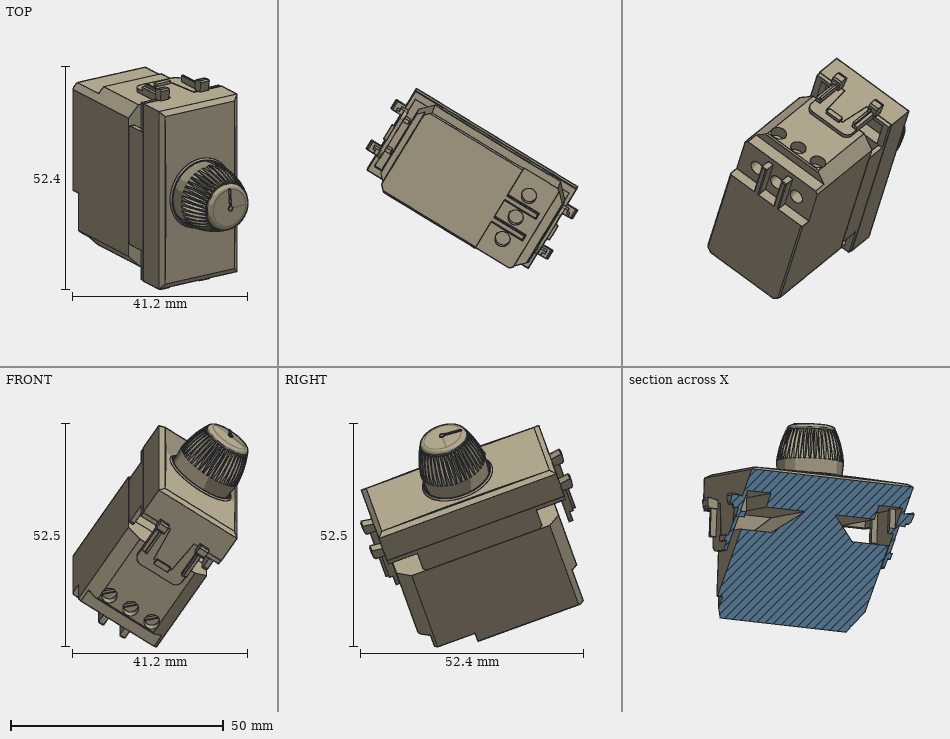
import cadquery as cq
import math

TURN_ABOUT_Y = 33.4
TURN_ABOUT_X = 20.0

HALF_WIDTH = 11.0
HALF_LENGTH = 22.25
RIM_INSET = 0.1
RIM_HEIGHT = 1.05
FRAME_SHOULDER = 7.75
BEVEL_RUN = 1.25
BEVEL_RISE = 0.8
FACE_BULGE = 0.3
FACE_EDGE = FRAME_SHOULDER + BEVEL_RISE
FACE_TOP = FACE_EDGE + FACE_BULGE

NECK_HEIGHT = 5.25
NECK_HALF_LENGTH = 14.9
NECK_WALL = 1.25
NECK_CHAMFER = 0.65
HOLLOW_FLOOR_Y = 11.1
HOLLOW_SLOPE_RUN = 6.8
BACK_POCKET_DEPTH = 3.1
BACK_POCKET_HALF_WIDTH = 9.3
BACK_POCKET_END = 21.2

BODY_BACK = -29.35
BODY_TOP_END = 19.4
BODY_BOTTOM_END = -21.15
TOP_CORNER_RUN = 2.9
TOP_CORNER_DROP = 2.8
BOTTOM_CORNER_RUN = 3.25
BOTTOM_CORNER_DROP = 3.2
TOP_LEDGE_Y = 18.0
TOP_LEDGE_Z = -20.2
BOTTOM_LEDGE_Y = -18.65
BOTTOM_LEDGE_Z = -23.4
BACK_CHAMFER = 0.35

STEP_Y = -8.6
STEP_Z = -26.65
TERMINAL_PITCH = 6.0
WIRE_HOLE_RADIUS = 1.8
WIRE_HOLE_Y = -13.0
WIRE_HOLE_DEPTH = 5.25
FIN_WIDTH = 1.45
FIN_END_Y = -17.25
FIN_CHAMFER = 0.25

SCREW_RADIUS = 1.85
SCREW_Z = -21.05
SCREW_HOLE_DEPTH = 4.2
SCREW_HEAD_DEPTH = 2.8
SLOT_WIDTH = 0.8
SLOT_DEPTH = 0.65
SLOT_ANGLE = 45.0

CLIP_HALF_WIDTH = 6.25
CLIP_BOTTOM = -10.2
CLIP_INNER_Y = 21.2
CLIP_OUTER_Y = HALF_LENGTH - RIM_INSET
CLIP_CORNER = 1.85
RIB_START_Y = 19.7
RIB_INNER_X = 3.7
RIB_OUTER_X = 4.5
RIB_BOTTOM = -4.2
TONGUE_TOP_HALF = 3.335
TONGUE_END_HALF = 2.495
TONGUE_END_Z = -7.35
CATCH_HALF_WIDTH = 1.95
CATCH_TOP = -6.8
CATCH_BOTTOM = -8.15
CATCH_Y = 22.9
PRONG_END_Z = -6.7
PRONG_INNER_X = 4.9
PRONG_MIDDLE_X = 5.4
PRONG_LOW_Y = 23.05
PRONG_HIGH_Y = 23.75
HEAD_INNER_X = 4.4
HEAD_OUTER_X = 6.75
HEAD_BOTTOM = -0.15
HEAD_PROFILE = [
    (CLIP_OUTER_Y, HEAD_BOTTOM),
    (24.5, HEAD_BOTTOM),
    (24.9, 0.3),
    (25.05, 1.8),
    (24.8, 2.35),
    (CLIP_OUTER_Y, 1.9),
]

COLLAR_OUTER_RADIUS = 8.6
COLLAR_TOP_RADIUS = 8.25
COLLAR_HOLE_RADIUS = 8.0
COLLAR_HEIGHT = 0.35
KNOB_SEAT = 7.35
SKIRT_RADIUS = 7.45
GRIP_RADIUS = 7.95
GRIP_BOTTOM = 12.7
GRIP_TOP_RADIUS = 5.95
GRIP_TOP = 20.0
CAP_RADIUS = 5.7
CAP_SHOULDER = 20.4
DOME_RADIUS = 4.55
DOME_EDGE = 21.2
KNOB_TOP = 21.65
GRIP_BULGE = 0.3
CAP_BULGE = 0.25
FLUTE_COUNT = 40
FLUTE_WIDTH = 0.7
FLUTE_DEPTH = 0.3
MARK_RADIUS = 0.6
MARK_WIDTH = 0.45
MARK_RISE = 0.2


def box(x0, x1, y0, y1, z0, z1):
    return cq.Workplane("XY").box(x1 - x0, y1 - y0, z1 - z0, centered=False).translate((x0, y0, z0))


def make_frame():
    """Front frame: bevelled all round, with a face that bulges slightly along its length."""
    rim = box(
        RIM_INSET - HALF_WIDTH, HALF_WIDTH - RIM_INSET,
        RIM_INSET - HALF_LENGTH, HALF_LENGTH - RIM_INSET,
        0, RIM_HEIGHT,
    )
    lengthwise = (
        cq.Workplane("YZ")
        .moveTo(-HALF_LENGTH, RIM_HEIGHT)
        .lineTo(-HALF_LENGTH, FRAME_SHOULDER)
        .lineTo(BEVEL_RUN - HALF_LENGTH, FACE_EDGE)
        .threePointArc((0, FACE_TOP), (HALF_LENGTH - BEVEL_RUN, FACE_EDGE))
        .lineTo(HALF_LENGTH, FRAME_SHOULDER)
        .lineTo(HALF_LENGTH, RIM_HEIGHT)
        .close()
        .extrude(HALF_WIDTH, both=True)
    )
    crosswise = (
        cq.Workplane("XZ")
        .moveTo(-HALF_WIDTH, RIM_HEIGHT)
        .lineTo(-HALF_WIDTH, FRAME_SHOULDER)
        .lineTo(BEVEL_RUN - HALF_WIDTH, FACE_EDGE)
        .lineTo(BEVEL_RUN - HALF_WIDTH, FACE_TOP)
        .lineTo(HALF_WIDTH - BEVEL_RUN, FACE_TOP)
        .lineTo(HALF_WIDTH - BEVEL_RUN, FACE_EDGE)
        .lineTo(HALF_WIDTH, FRAME_SHOULDER)
        .lineTo(HALF_WIDTH, RIM_HEIGHT)
        .close()
        .extrude(HALF_LENGTH, both=True)
    )
    return rim.union(lengthwise.intersect(crosswise))


def make_body():
    """Rear body with cut corners, a ledge at each end and the terminal step."""
    right_side = [
        (HALF_WIDTH - BOTTOM_CORNER_RUN, BODY_BOTTOM_END),
        (HALF_WIDTH, BODY_BOTTOM_END + BOTTOM_CORNER_DROP),
        (HALF_WIDTH, BODY_TOP_END - TOP_CORNER_DROP),
        (HALF_WIDTH - TOP_CORNER_RUN, BODY_TOP_END),
    ]
    left_side = [(-x, y) for x, y in reversed(right_side)]
    body = (
        cq.Workplane("XY", origin=(0, 0, BODY_BACK))
        .polyline(right_side + left_side)
        .close()
        .extrude(-NECK_HEIGHT - BODY_BACK)
    )
    w = HALF_WIDTH
    body = body.cut(box(-w, w, TOP_LEDGE_Y, BODY_TOP_END, BODY_BACK, TOP_LEDGE_Z))
    body = body.cut(box(-w, w, BODY_BOTTOM_END, BOTTOM_LEDGE_Y, BODY_BACK, BOTTOM_LEDGE_Z))
    body = body.cut(box(-w, w, BODY_BOTTOM_END, STEP_Y, BODY_BACK, STEP_Z))
    body = body.faces("<Z").edges("|Y").chamfer(BACK_CHAMFER)
    return body.faces("-Z").faces("<Z[1]").edges("|Y or <Y").chamfer(BACK_CHAMFER)


def make_neck():
    """Neck hollowed at both ends, each hollow with a floor that slopes up toward the middle."""
    half_width = HALF_WIDTH - RIM_INSET
    neck = box(-half_width, half_width, -NECK_HALF_LENGTH, NECK_HALF_LENGTH, -NECK_HEIGHT, 0)
    neck = neck.faces("<Z").edges("|X").chamfer(NECK_CHAMFER)
    hollow = (
        cq.Workplane("YZ")
        .polyline([
            (NECK_HALF_LENGTH, -NECK_HEIGHT),
            (HOLLOW_FLOOR_Y, -NECK_HEIGHT),
            (HOLLOW_FLOOR_Y - HOLLOW_SLOPE_RUN, 0),
            (NECK_HALF_LENGTH, 0),
        ])
        .close()
        .extrude(HALF_WIDTH - NECK_WALL, both=True)
    )
    return neck.cut(hollow).cut(hollow.mirror("XZ"))


def make_fin(x):
    fin = box(x - FIN_WIDTH / 2, x + FIN_WIDTH / 2, FIN_END_Y, STEP_Y, BODY_BACK, STEP_Z)
    return fin.faces("<Z").edges("<Y or |Y").chamfer(FIN_CHAMFER)


def make_clip():
    """Spring clip of the +y end: hanging plate, tongue with its catch, two ribs, two prongs with heads."""
    plate = box(-CLIP_HALF_WIDTH, CLIP_HALF_WIDTH, CLIP_INNER_Y, CLIP_OUTER_Y, CLIP_BOTTOM, RIM_HEIGHT)
    plate = plate.edges("|Y and <Z").fillet(CLIP_CORNER)
    tongue = (
        cq.Workplane("XZ")
        .polyline([
            (-TONGUE_TOP_HALF, RIM_HEIGHT),
            (-TONGUE_END_HALF, TONGUE_END_Z),
            (TONGUE_END_HALF, TONGUE_END_Z),
            (TONGUE_TOP_HALF, RIM_HEIGHT),
        ])
        .close()
        .extrude(-HALF_LENGTH)
        .intersect(box(-HALF_WIDTH, HALF_WIDTH, CLIP_INNER_Y, HALF_LENGTH, CLIP_BOTTOM, RIM_HEIGHT))
    )
    catch = box(-CATCH_HALF_WIDTH, CATCH_HALF_WIDTH, CLIP_INNER_Y, CATCH_Y, CATCH_BOTTOM, CATCH_TOP)
    clip = plate.union(tongue).union(catch)
    for side in (-1, 1):
        rib_x = sorted((side * RIB_INNER_X, side * RIB_OUTER_X))
        low_x = sorted((side * PRONG_INNER_X, side * CLIP_HALF_WIDTH))
        high_x = sorted((side * PRONG_INNER_X, side * PRONG_MIDDLE_X))
        head_x = min(side * HEAD_INNER_X, side * HEAD_OUTER_X)
        head = (
            cq.Workplane("YZ", origin=(head_x, 0, 0))
            .polyline(HEAD_PROFILE)
            .close()
            .extrude(HEAD_OUTER_X - HEAD_INNER_X)
        )
        clip = clip.union(box(*rib_x, RIB_START_Y, CLIP_INNER_Y, RIB_BOTTOM, BACK_POCKET_DEPTH))
        clip = clip.union(box(*low_x, CLIP_INNER_Y, PRONG_LOW_Y, PRONG_END_Z, 0))
        clip = clip.union(box(*high_x, CLIP_INNER_Y, PRONG_HIGH_Y, PRONG_END_Z, 0))
        clip = clip.union(head)
    return clip


def end_face_cylinder(x, radius, depth_from, depth_to):
    """Cylinder at a screw place, between two depths below the -y end face of the body."""
    return (
        cq.Workplane("XZ", origin=(x, BODY_BOTTOM_END + depth_from, SCREW_Z))
        .circle(radius)
        .extrude(depth_from - depth_to)
    )


def make_housing():
    housing = make_frame().union(make_body()).union(make_neck())
    pocket = box(
        -BACK_POCKET_HALF_WIDTH, BACK_POCKET_HALF_WIDTH, NECK_HALF_LENGTH, BACK_POCKET_END,
        0, BACK_POCKET_DEPTH,
    )
    clip = make_clip()
    housing = housing.cut(pocket).cut(pocket.mirror("XZ"))
    housing = housing.union(clip).union(clip.mirror("XZ"))

    collar = (
        cq.Workplane("XZ")
        .polyline([
            (0, KNOB_SEAT),
            (COLLAR_OUTER_RADIUS, KNOB_SEAT),
            (COLLAR_OUTER_RADIUS, FACE_TOP),
            (COLLAR_TOP_RADIUS, FACE_TOP + COLLAR_HEIGHT),
            (0, FACE_TOP + COLLAR_HEIGHT),
        ])
        .close()
        .revolve(360, (0, 0, 0), (0, 1, 0))
    )
    recess = (
        cq.Workplane("XY", origin=(0, 0, KNOB_SEAT))
        .circle(COLLAR_HOLE_RADIUS)
        .extrude(FACE_TOP + COLLAR_HEIGHT - KNOB_SEAT)
    )
    housing = housing.union(collar).cut(recess)

    for place in (-1, 0, 1):
        x = place * TERMINAL_PITCH
        wire_hole = (
            cq.Workplane("XY", origin=(x, WIRE_HOLE_Y, STEP_Z))
            .circle(WIRE_HOLE_RADIUS)
            .extrude(WIRE_HOLE_DEPTH)
        )
        housing = housing.cut(end_face_cylinder(x, SCREW_RADIUS, 0, SCREW_HOLE_DEPTH)).cut(wire_hole)
    for side in (-1, 1):
        housing = housing.union(make_fin(side * TERMINAL_PITCH / 2))
    return housing


def make_screw(x):
    """Slotted screw that fills the bottom of its hole."""
    screw = end_face_cylinder(x, SCREW_RADIUS, SCREW_HEAD_DEPTH, SCREW_HOLE_DEPTH)
    slot = (
        cq.Workplane("XZ", origin=(x, BODY_BOTTOM_END + SCREW_HEAD_DEPTH, SCREW_Z))
        .transformed(rotate=(0, 0, SLOT_ANGLE))
        .rect(2 * SCREW_RADIUS, SLOT_WIDTH)
        .extrude(-SLOT_DEPTH)
    )
    return screw.cut(slot)


def bulged_middle(start, end, bulge):
    """Middle of an arc that stands off the outer side of a rising, inward-leaning chord."""
    dr = end[0] - start[0]
    dz = end[1] - start[1]
    chord = math.hypot(dr, dz)
    return ((start[0] + end[0]) / 2 + bulge * dz / chord, (start[1] + end[1]) / 2 - bulge * dr / chord)


def make_knob():
    """Turned knob with a plain skirt, a fluted grip, a set-back domed cap and a raised pointer."""
    grip_start = (GRIP_RADIUS, GRIP_BOTTOM)
    grip_end = (GRIP_TOP_RADIUS, GRIP_TOP)
    cap_start = (CAP_RADIUS, CAP_SHOULDER)
    dome_start = (DOME_RADIUS, DOME_EDGE)
    knob = (
        cq.Workplane("XZ")
        .moveTo(0, KNOB_SEAT)
        .lineTo(SKIRT_RADIUS, KNOB_SEAT)
        .lineTo(*grip_start)
        .threePointArc(bulged_middle(grip_start, grip_end, GRIP_BULGE), grip_end)
        .lineTo(CAP_RADIUS, GRIP_TOP)
        .lineTo(*cap_start)
        .threePointArc(bulged_middle(cap_start, dome_start, CAP_BULGE), dome_start)
        .lineTo(0, KNOB_TOP)
        .close()
        .revolve(360, (0, 0, 0), (0, 1, 0))
    )

    grip_taper = GRIP_RADIUS - GRIP_TOP_RADIUS
    grip_rise = GRIP_TOP - GRIP_BOTTOM
    grip_length = math.hypot(grip_taper, grip_rise)
    grip_lean = math.degrees(math.atan2(grip_taper, grip_rise))
    flute = (
        cq.Workplane("XY")
        .polyline([(-FLUTE_DEPTH, 0), (2 * FLUTE_DEPTH, -FLUTE_WIDTH), (2 * FLUTE_DEPTH, FLUTE_WIDTH)])
        .close()
        .extrude(grip_length)
        .rotate((0, 0, 0), (0, 1, 0), -grip_lean)
        .translate((GRIP_RADIUS, 0, GRIP_BOTTOM))
    )
    step = 360 / FLUTE_COUNT
    flutes = [flute.rotate((0, 0, 0), (0, 0, 1), (i + 0.5) * step).val() for i in range(FLUTE_COUNT)]
    knob = knob.cut(cq.Workplane(cq.Compound.makeCompound(flutes)))

    dot = cq.Workplane("XY", origin=(0, 0, DOME_EDGE)).circle(MARK_RADIUS)
    dot = dot.extrude(KNOB_TOP + MARK_RISE - DOME_EDGE)
    pointer = (
        cq.Workplane("YZ")
        .polyline([
            (0, DOME_EDGE),
            (0, KNOB_TOP + MARK_RISE),
            (DOME_RADIUS, DOME_EDGE + MARK_RISE),
            (GRIP_TOP_RADIUS, GRIP_TOP + MARK_RISE),
            (GRIP_RADIUS + MARK_RISE, GRIP_BOTTOM),
            (SKIRT_RADIUS - MARK_RADIUS, GRIP_BOTTOM),
            (DOME_RADIUS, GRIP_TOP),
        ])
        .close()
        .extrude(MARK_WIDTH / 2, both=True)
    )
    return knob.union(dot).union(pointer)


def tilt(solid):
    turned = solid.rotate((0, 0, 0), (0, 1, 0), TURN_ABOUT_Y)
    return turned.rotate((0, 0, 0), (1, 0, 0), TURN_ABOUT_X)


housing = make_housing()
knob = make_knob()
screws = [make_screw(place * TERMINAL_PITCH) for place in (-1, 0, 1)]

result = cq.Compound.makeCompound(
    [tilt(housing).val(), tilt(knob).val(), *[tilt(screw).val() for screw in screws]]
)